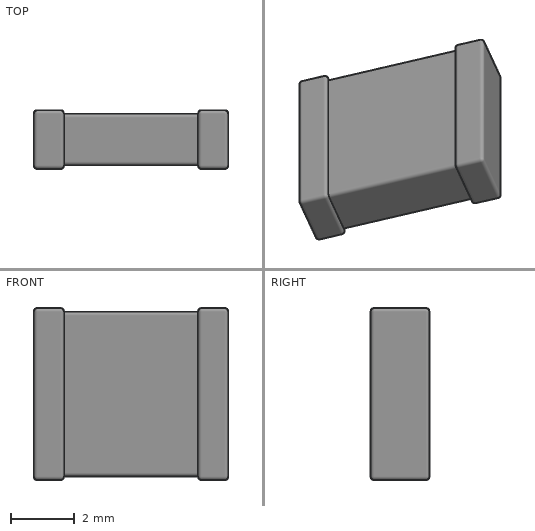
import cadquery as cq


LENGTH = 6.1
DEPTH = 1.85
HEIGHT = 5.4

CAP_LENGTH = 0.95
EDGE_RADIUS = 0.115
STEP = EDGE_RADIUS

BLOCK_LENGTH = LENGTH - 2 * CAP_LENGTH
BLOCK_DEPTH = DEPTH - 2 * STEP
BLOCK_HEIGHT = HEIGHT - 2 * STEP
CAP_CENTER = (LENGTH - CAP_LENGTH) / 2


def make_block():
    """Ceramic block between the caps, rounded along its length."""
    block = cq.Workplane("XY").box(BLOCK_LENGTH, BLOCK_DEPTH, BLOCK_HEIGHT)
    return block.edges("|X").fillet(EDGE_RADIUS)


def make_cap(center_x):
    """Terminal cap with every edge rounded, flat against the block's end."""
    cap = cq.Workplane("XY").box(CAP_LENGTH, DEPTH, HEIGHT)
    return cap.edges().fillet(EDGE_RADIUS).translate((center_x, 0, 0))


block = make_block()
caps = [make_cap(side * CAP_CENTER) for side in (-1, 1)]

result = cq.Compound.makeCompound([block.val(), *[cap.val() for cap in caps]])